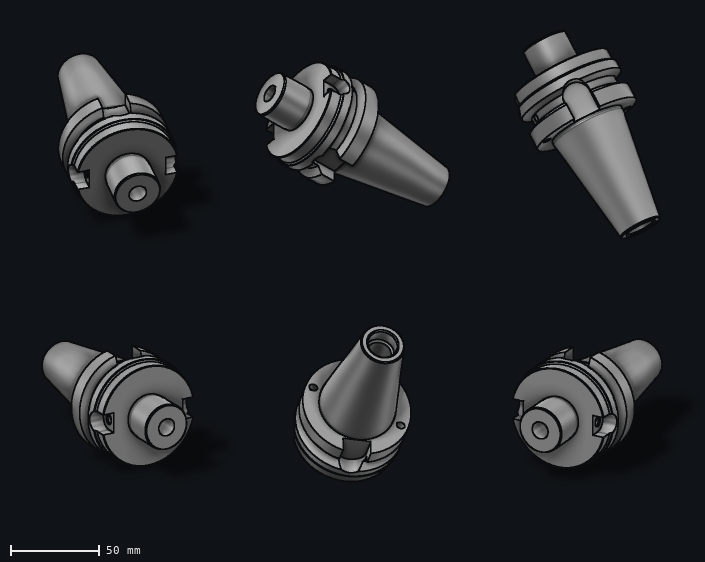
import cadquery as cq
import math

total_length = 121.4
taper_end = 65.4
flange_start = 67.5
flange_rim_end = 77.0
groove_start = 79.4
groove_end = 84.3
collar_rim_start = 86.7
collar_rim_end = 92.4
collar_end = 100.4

taper_gauge_diameter = 44.4
taper_rate = 7 / 24
neck_diameter = 44.2
flange_diameter = 63.0
groove_diameter = 53.2
collar_diameter = 60.1
relief_diameter = 26.3
spigot_diameter = 27.0

taper_tip_chamfer = 0.6
neck_lead_length = 1.1
collar_step_width = 1.0
relief_length = 1.1
relief_runout = 1.3
spigot_chamfer = 1.0
spigot_chamfer_height = 0.5
collar_edge_chamfer = 0.4

bore_mouth_chamfer = 0.8
counterbore_diameter = 17.0
counterbore_depth = 9.0
thread_bore_diameter = 14.0
thread_bore_depth = 36.4
bore_cone_angle = 120.0
drill_point_angle = 118.0
through_diameter = 10.2

keyway_width = 16.1
keyway_end = 88.3
keyway_floor = 22.5

drive_slot_width = 12.0
drive_slot_end = 88.5
drive_slot_floor = 22.5
screw_hole_diameter = 4.2
screw_hole_mouth = 5.6
screw_hole_depth = 9.7

coolant_diameter = 4.1
coolant_angle = 20.0
coolant_face_radius = 27.0
coolant_tilt = 30.0


def make_body():
    tip_radius = (taper_gauge_diameter - taper_end * taper_rate) / 2
    rim = flange_diameter / 2
    groove = groove_diameter / 2
    collar = collar_diameter / 2
    neck = neck_diameter / 2
    relief = relief_diameter / 2
    spigot = spigot_diameter / 2
    relief_end = collar_end + relief_length
    profile = [
        (0, 0),
        (0, tip_radius - taper_tip_chamfer),
        (taper_tip_chamfer, tip_radius + taper_tip_chamfer * taper_rate / 2),
        (taper_end, taper_gauge_diameter / 2),
        (taper_end + neck_lead_length, neck),
        (flange_start, neck),
        (flange_start, rim),
        (flange_rim_end, rim),
        (groove_start, groove),
        (groove_end, groove),
        (collar_rim_start, rim),
        (collar_rim_end, rim),
        (collar_rim_end, collar + collar_step_width),
        (collar_rim_end + collar_step_width, collar),
        (collar_end - collar_edge_chamfer, collar),
        (collar_end, collar - collar_edge_chamfer),
        (collar_end, relief),
        (relief_end, relief),
        (relief_end + relief_runout, spigot),
        (total_length - spigot_chamfer, spigot),
        (total_length, spigot - spigot_chamfer_height),
        (total_length, 0),
    ]
    return cq.Workplane("XY").polyline(profile).close().revolve(360, (0, 0), (1, 0))


def cone_length(radius_drop, included_angle):
    return radius_drop / math.tan(math.radians(included_angle / 2))


def make_bore():
    lead_in = cone_length((counterbore_diameter - thread_bore_diameter) / 2, bore_cone_angle)
    step = cone_length((thread_bore_diameter - through_diameter) / 2, drill_point_angle)
    mouth = counterbore_diameter / 2 + bore_mouth_chamfer
    profile = [
        (0, 0),
        (0, mouth),
        (bore_mouth_chamfer, counterbore_diameter / 2),
        (counterbore_depth, counterbore_diameter / 2),
        (counterbore_depth + lead_in, thread_bore_diameter / 2),
        (thread_bore_depth, thread_bore_diameter / 2),
        (thread_bore_depth + step, through_diameter / 2),
        (total_length, through_diameter / 2),
        (total_length, 0),
    ]
    return cq.Workplane("XY").polyline(profile).close().revolve(360, (0, 0), (1, 0))


def make_slot(open_x, round_end, width, floor):
    """Slot on the +Z side, open at open_x, with a full round at its smallest or largest X."""
    toward_end = math.copysign(1, round_end - open_x)
    center = round_end - toward_end * width / 2
    return (
        cq.Workplane("XY", origin=(0, 0, floor))
        .moveTo(open_x, -width / 2)
        .lineTo(center, -width / 2)
        .threePointArc((round_end, 0), (center, width / 2))
        .lineTo(open_x, width / 2)
        .close()
        .extrude(flange_diameter / 2)
    )


def make_drive_slot():
    """Slot on the +Z side with a chamfered, drill-pointed screw hole in its floor."""
    hole_x = drive_slot_end + drive_slot_width / 2
    radius = screw_hole_diameter / 2
    mouth = screw_hole_mouth / 2
    bottom = drive_slot_floor - screw_hole_depth
    point_length = cone_length(radius, drill_point_angle)
    profile = [
        (0, drive_slot_floor),
        (mouth, drive_slot_floor),
        (radius, drive_slot_floor - (mouth - radius)),
        (radius, bottom),
        (0, bottom - point_length),
    ]
    hole = cq.Workplane("XZ").polyline(profile).close().revolve(360, (0, 0), (0, 1))
    slot = make_slot(collar_end, drive_slot_end, drive_slot_width, drive_slot_floor)
    return slot.union(hole.translate((hole_x, 0, 0)))


def make_coolant_passage():
    """Pair of holes in the XY plane on the +Y side, meeting below the groove floor."""
    radial_x = (groove_start + groove_end) / 2
    run = radial_x - flange_start
    tilt = math.radians(coolant_tilt)
    meeting_radius = coolant_face_radius - run * math.tan(tilt)
    lead = coolant_diameter
    direction = cq.Vector(math.cos(tilt), -math.sin(tilt), 0)
    entry = cq.Vector(flange_start, coolant_face_radius, 0) - direction * lead
    inclined = cq.Solid.makeCylinder(coolant_diameter / 2, run / math.cos(tilt) + lead, entry, direction)
    radial = cq.Solid.makeCylinder(
        coolant_diameter / 2,
        flange_diameter / 2 - meeting_radius,
        cq.Vector(radial_x, meeting_radius, 0),
        cq.Vector(0, 1, 0),
    )
    return cq.Workplane(inclined).union(cq.Workplane(radial))


def turned(shape, angle):
    return shape.rotate((0, 0, 0), (1, 0, 0), angle)


keyway = make_slot(flange_start, keyway_end, keyway_width, keyway_floor)
drive_slot = make_drive_slot()
coolant_passage = make_coolant_passage()

result = make_body().cut(make_bore())
for side in (0, 180):
    result = result.cut(turned(keyway, side))
    result = result.cut(turned(drive_slot, side + 90))
    result = result.cut(turned(coolant_passage, side + coolant_angle))